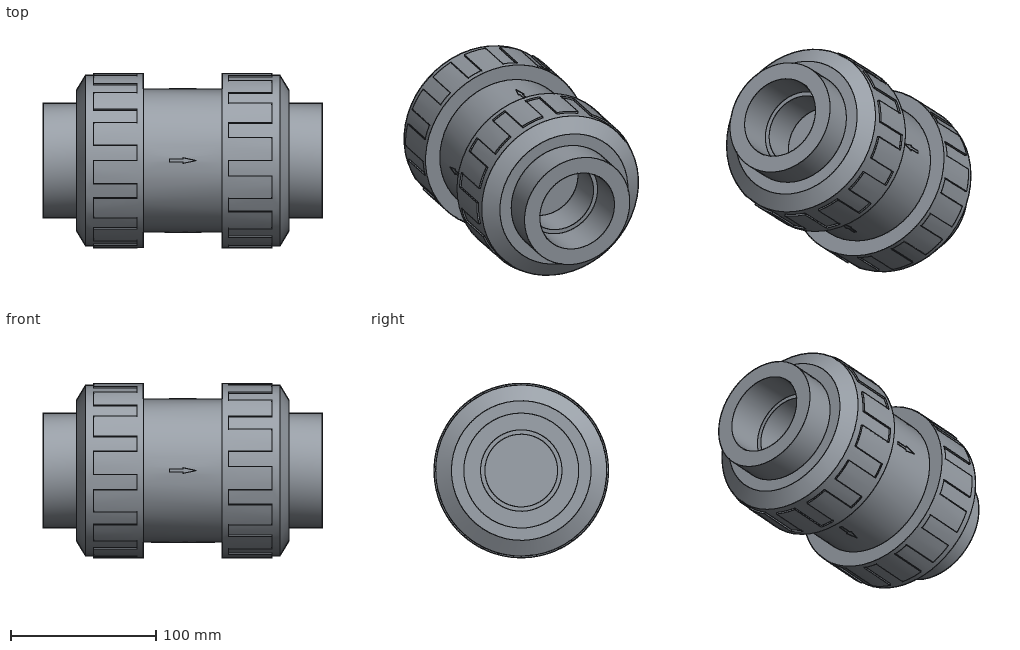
import cadquery as cq
import math

overall_length = 192.0

body_radius = 49.3

socket_outer_radius = 39.5
socket_radius = 28.0
socket_depth = 29.0
bore_radius = 25.0
bore_depth = 56.0

nut_radius = 60.0
grip_root_radius = 58.8
nut_inner_end = 27.0
nut_outer_end = 73.2
nut_face_radius = 48.0
chamfer_length = 6.4

tooth_count = 14
collar_width = 4.3
tooth_outer_end = 61.2
tooth_share = 0.6

arrow_length = 18.5
arrow_shaft_width = 1.9
arrow_head_width = 4.0
arrow_height = 0.25
arrow_count = 4


def cylinder(start, end, radius):
    """Solid cylinder along X between two positions."""
    return cq.Workplane("YZ", origin=(start, 0, 0)).circle(radius).extrude(end - start)


def nut_blank():
    """Nut on the -X side at the root radius, chamfered at its outer end."""
    profile = [
        (-nut_outer_end, 0),
        (-nut_outer_end, nut_face_radius),
        (-nut_outer_end + chamfer_length, grip_root_radius),
        (-nut_inner_end, grip_root_radius),
        (-nut_inner_end, 0),
    ]
    return cq.Workplane("XY").polyline(profile).close().revolve(360, (0, 0, 0), (1, 0, 0))


def grip_groove(start, end, first_angle, sweep):
    """Sector-shaped cutter along X; angles in degrees from +Z towards -Y."""
    reach = 2 * nut_radius

    def rim(angle):
        return (-reach * math.sin(math.radians(angle)), reach * math.cos(math.radians(angle)))

    return (
        cq.Workplane("YZ", origin=(start, 0, 0))
        .moveTo(0, 0)
        .lineTo(*rim(first_angle))
        .lineTo(*rim(first_angle + sweep))
        .close()
        .extrude(end - start)
    )


def union_nut():
    """Nut on the -X side with a collar and grip teeth; one tooth flank lies at +Z."""
    groove_end = -nut_inner_end - collar_width
    pitch = 360 / tooth_count
    tooth_angle = tooth_share * pitch
    grip = cylinder(-tooth_outer_end, -nut_inner_end, nut_radius)
    for index in range(tooth_count):
        groove_start = index * pitch + tooth_angle
        grip = grip.cut(grip_groove(-tooth_outer_end, groove_end, groove_start, pitch - tooth_angle))
    return nut_blank().union(grip)


def flow_arrow():
    """Raised arrow pointing to +X on the top of the body, following its curve."""
    half_length = arrow_length / 2
    half_shaft = arrow_shaft_width / 2
    half_head = arrow_head_width / 2
    outline = [
        (-half_length, -half_shaft),
        (0, -half_shaft),
        (0, -half_head),
        (half_length, 0),
        (0, half_head),
        (0, half_shaft),
        (-half_length, half_shaft),
    ]
    prism = cq.Workplane("XY").polyline(outline).close().extrude(2 * body_radius)
    return prism.intersect(cylinder(-half_length, half_length, body_radius + arrow_height))


def end_bore():
    """Stepped blind bore at the -X end."""
    end = -overall_length / 2
    socket = cylinder(end, end + socket_depth, socket_radius)
    return socket.union(cylinder(end, end + bore_depth, bore_radius))


def other_end(shape):
    """Half turn about Z, taking a feature from the -X end to the +X end."""
    return shape.rotate((0, 0, 0), (0, 0, 1), 180)


nut = union_nut()
bore = end_bore()
arrow = flow_arrow()

result = cylinder(-overall_length / 2, overall_length / 2, socket_outer_radius)
result = result.union(cylinder(-nut_inner_end, nut_inner_end, body_radius))
result = result.union(nut).union(other_end(nut))
for index in range(arrow_count):
    result = result.union(arrow.rotate((0, 0, 0), (1, 0, 0), index * 360 / arrow_count))
result = result.cut(bore).cut(other_end(bore))